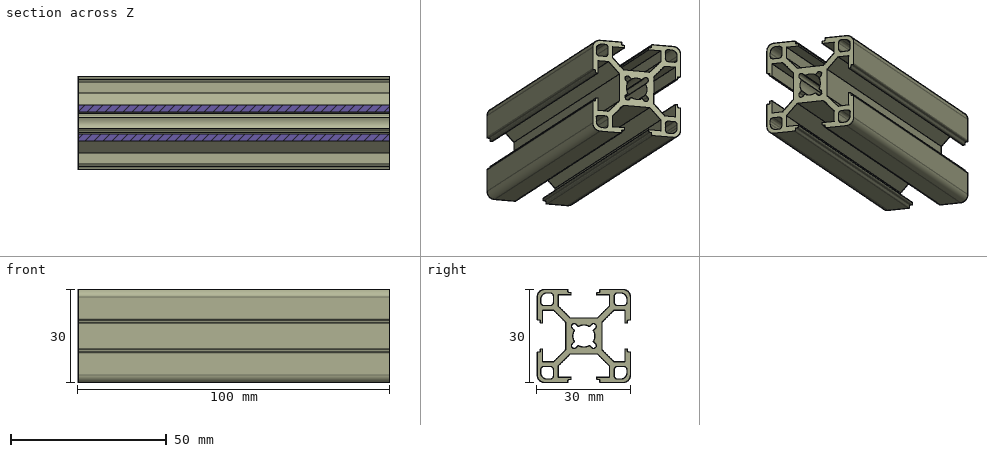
import cadquery as cq
import math

length = 100.0
side = 30.0
corner_radius = 2.5

slot_mouth = 10.2
slot_opening = 8.2
lip_step = 1.0
lip_thickness = 1.8
lip_edge_radius = 0.3
slot_inner_width = 16.4
core_width = 11.7
web_thickness = 2.0

hollow_inner_face = 9.8
hollow_outer_face = 13.8
hollow_outer_radius = 2.0
hollow_radius = 1.0

bore_diameter = 7.0
groove_width = 1.7
groove_centre = 3.1

half_side = side / 2
half_length = length / 2
tolerance = 0.01
quarter_turns = (0, 90, 180, 270)


def profile_plane():
    """Workplane across the extrusion at its -X end, with local x = Y and local y = Z."""
    return cq.Workplane("YZ", origin=(-half_length, 0, 0))


def around_axis(cutter):
    """Four copies of a cutter, a quarter turn apart about the extrusion axis."""
    return [cutter.rotate((0, 0, 0), (1, 0, 0), angle) for angle in quarter_turns]


def t_slot():
    """Full-length T-slot opening on the +Z side."""
    lip_face = half_side - lip_thickness
    step_face = half_side - lip_step
    slot_floor = core_width / 2
    wall = slot_inner_width / 2
    web_rise = web_thickness / 2 * math.sqrt(2)
    right_half = [
        (slot_floor - web_rise, slot_floor),
        (wall, wall + web_rise),
        (wall, lip_face),
        (slot_opening / 2, lip_face),
        (slot_opening / 2, step_face),
        (slot_mouth / 2, step_face),
        (slot_mouth / 2, half_side),
    ]
    left_half = [(-y, z) for y, z in reversed(right_half)]
    return profile_plane().polyline(right_half + left_half).close().extrude(length)


def corner_hollow():
    """Full-length rounded square hollow in the +Y +Z corner."""
    size = hollow_outer_face - hollow_inner_face
    centre = (hollow_outer_face + hollow_inner_face) / 2
    hollow = profile_plane().center(centre, centre).rect(size, size).extrude(length)
    hollow = hollow.edges("|X and >(0, 1, 1)").fillet(hollow_outer_radius)
    other_edges = "|X and (<(0, 1, 1) or >(0, 1, -1) or <(0, 1, -1))"
    return hollow.edges(other_edges).fillet(hollow_radius)


def relief_groove():
    """Round-ended groove running from the axis towards the +Y +Z corner."""
    reach = groove_centre * math.sqrt(2)
    return (
        profile_plane()
        .transformed(rotate=(0, 0, 45))
        .center(reach / 2, 0)
        .slot2D(reach + groove_width, groove_width)
        .extrude(length)
    )


def is_lip_edge(edge):
    """True for the two mouth edges and the tip edge of a lip, all along X."""
    centre = edge.Center()
    across, outward = sorted((abs(centre.y), abs(centre.z)))
    in_mouth = across < slot_mouth / 2 + tolerance
    return in_mouth and outward > half_side - lip_step - tolerance


def make_body():
    """Round-cornered square bar with the four T-slots cut and the lip edges rounded."""
    body = profile_plane().rect(side, side).extrude(length).edges("|X").fillet(corner_radius)
    for cutter in around_axis(t_slot()):
        body = body.cut(cutter)
    return body.edges("|X").filter(is_lip_edge).fillet(lip_edge_radius)


result = make_body()
for shape in (corner_hollow(), relief_groove()):
    for cutter in around_axis(shape):
        result = result.cut(cutter)

bore = profile_plane().circle(bore_diameter / 2).extrude(length)
result = result.cut(bore)